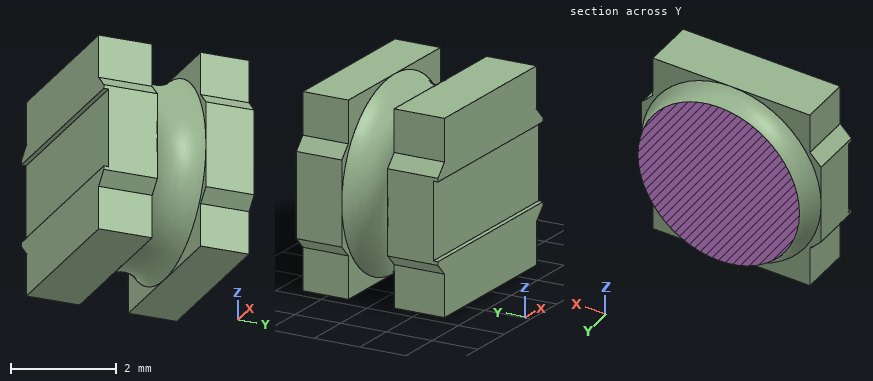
import cadquery as cq

width = 4.0
height = 4.0
flange_thickness = 1.0
core_length = 1.0

neck_width = 3.5
notch_height = 0.875
notch_depth = (width - neck_width) / 2

channel_height = 1.6
channel_depth = 0.1

core_rim_radius = width / 2
core_waist_radius = 1.8

core_half = core_length / 2
front_thickness = flange_thickness + channel_depth
front_face = -core_half - front_thickness


def flange(y_start, thickness):
    """Plate with notched corners, extending from y_start towards +Y."""
    half_width = width / 2
    half_height = height / 2
    inner_x = neck_width / 2
    slope_start_z = half_height - notch_height
    slope_end_z = slope_start_z - notch_depth
    right_side = [
        (inner_x, -half_height),
        (inner_x, -slope_start_z),
        (half_width, -slope_end_z),
        (half_width, slope_end_z),
        (inner_x, slope_start_z),
        (inner_x, half_height),
    ]
    left_side = [(-x, -z) for x, z in right_side]
    return (
        cq.Workplane("XZ", origin=(0, y_start, 0))
        .polyline(right_side + left_side)
        .close()
        .extrude(-thickness)
    )


def core():
    """Round core with a concave arc profile, revolved about the Y axis."""
    return (
        cq.Workplane("XY")
        .moveTo(0, -core_half)
        .lineTo(core_rim_radius, -core_half)
        .threePointArc((core_waist_radius, 0), (core_rim_radius, core_half))
        .lineTo(0, core_half)
        .close()
        .revolve(360, (0, 0, 0), (0, 1, 0))
    )


def channel():
    """Cutter for the full-width channel in the front face."""
    return (
        cq.Workplane("XY")
        .box(width, channel_depth, channel_height)
        .translate((0, front_face + channel_depth / 2, 0))
    )


front_flange = flange(front_face, front_thickness).cut(channel())
rear_flange = flange(core_half, flange_thickness)
result = front_flange.union(core()).union(rear_flange)